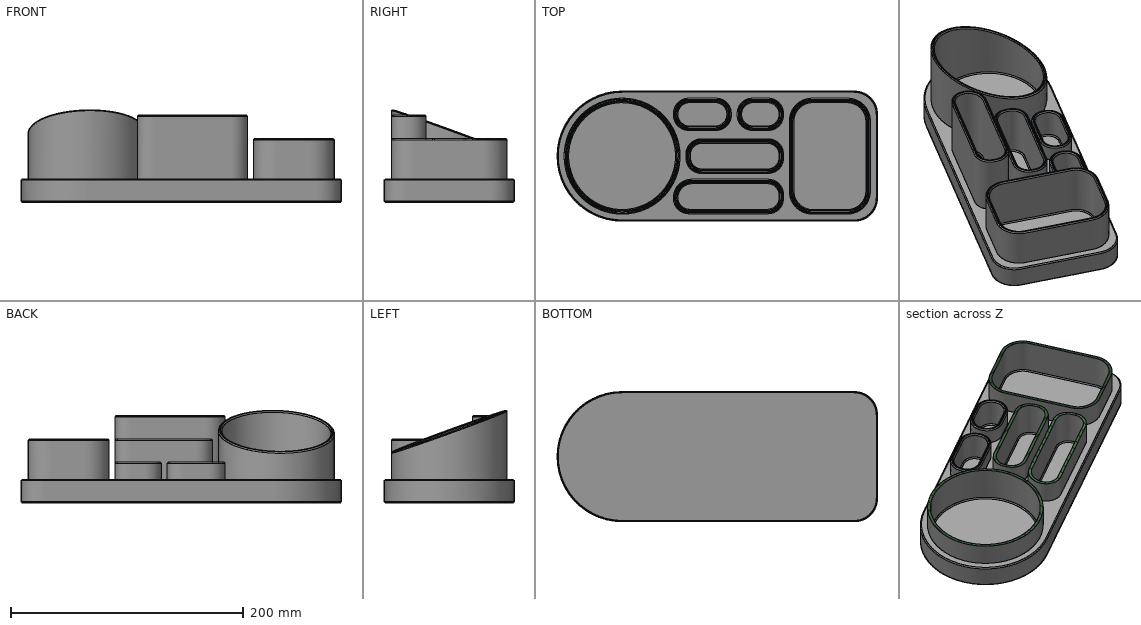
import cadquery as cq
import math

length = 276.0
width = 112.0
base_height = 20.1
end_radius = width / 2
base_corner_radius = 20.0
edge_chamfer = 1.0

pocket_floor_z = 5.0
cup_floor = 3.0
round_cup_diameter = 100.0
round_cup_bore = 94.0
wall = (round_cup_diameter - round_cup_bore) / 2
cup_gap = 5.0

rim_peak_z = 80.0
rim_slope = 20.0
rim_turn = 4.0

cup_y_limit = round_cup_diameter / 2

tray_length = 69.8
tray_corner_radius = 20.0
tray_top_z = 55.0
base_margin = end_radius - cup_y_limit
base_x_max = length - end_radius
tray_x_max = base_x_max - base_margin
tray_x_min = tray_x_max - tray_length

slot_corner_radius = 13.5
relief_corner_radius = 16.0
slot_x_max = tray_x_min - cup_gap
long_slot_length = 95.0
slot_width = 29.8
small_slot_width = 28.0
small_slot_length = 50.0
tall_slot_top_z = 75.0
middle_slot_top_z = 55.0
small_slot_top_z = 35.0
middle_slot_x_min = round_cup_diameter / 2 + cup_gap
long_slot_x_min = slot_x_max - long_slot_length
first_small_slot_x_max = long_slot_x_min + small_slot_length

small_slot_y_min = cup_y_limit - small_slot_width
long_slot_y_max = -slot_width / 2 - cup_gap
long_slot_y_min = long_slot_y_max - slot_width

tray = (
    tray_x_min, tray_x_max, -cup_y_limit, cup_y_limit,
    tray_corner_radius, tray_top_z, tray_corner_radius,
)
tall_slot = (
    long_slot_x_min, slot_x_max, long_slot_y_min, long_slot_y_max,
    slot_corner_radius, tall_slot_top_z, relief_corner_radius,
)
middle_slot = (
    middle_slot_x_min, slot_x_max, -slot_width / 2, slot_width / 2,
    slot_corner_radius, middle_slot_top_z, slot_corner_radius,
)
first_small_slot = (
    long_slot_x_min, first_small_slot_x_max, small_slot_y_min, cup_y_limit,
    slot_corner_radius, small_slot_top_z, slot_corner_radius,
)
second_small_slot = (
    first_small_slot_x_max + cup_gap, slot_x_max, small_slot_y_min, cup_y_limit,
    slot_corner_radius, small_slot_top_z, slot_corner_radius,
)
slots = [tall_slot, middle_slot, first_small_slot, second_small_slot]


def rounded_block(x_min, x_max, y_min, y_max, radius, relief_radius, bottom_z, top_z):
    """Upright block with rounded vertical edges; the (-X, +Y) edge has its own radius."""
    block = (
        cq.Workplane("XY", origin=((x_min + x_max) / 2, (y_min + y_max) / 2, bottom_z))
        .rect(x_max - x_min, y_max - y_min)
        .extrude(top_z - bottom_z)
    )
    return block.edges("|Z and (>X or <Y)").fillet(radius).edges("|Z").edges("<X and >Y").fillet(relief_radius)


def cylinder(diameter, bottom_z, top_z):
    return cq.Workplane("XY", origin=(0, 0, bottom_z)).circle(diameter / 2).extrude(top_z - bottom_z)


def chamfered_floor(cavity):
    """Chamfer the bottom edge of a cavity so that the cup keeps a bevel around its floor."""
    return cavity.faces("<Z").chamfer(edge_chamfer)


def make_rounded_cup(x_min, x_max, y_min, y_max, radius, top_z, relief_radius):
    outside = rounded_block(
        x_min, x_max, y_min, y_max, radius, relief_radius, pocket_floor_z, top_z
    )
    cavity = rounded_block(
        x_min + wall, x_max - wall, y_min + wall, y_max - wall,
        radius - wall, relief_radius - wall, pocket_floor_z + cup_floor, top_z,
    )
    return outside.cut(chamfered_floor(cavity)).faces(">Z").chamfer(edge_chamfer)


def make_round_cup():
    outside = cylinder(round_cup_diameter, pocket_floor_z, rim_peak_z)
    cavity = cylinder(round_cup_bore, pocket_floor_z + cup_floor, rim_peak_z)
    cup = outside.cut(chamfered_floor(cavity))
    rim_drop = round_cup_diameter * math.tan(math.radians(rim_slope))
    above_rim = (
        cq.Workplane("YZ")
        .moveTo(-cup_y_limit, rim_peak_z)
        .lineTo(cup_y_limit, rim_peak_z)
        .lineTo(cup_y_limit, rim_peak_z - rim_drop)
        .close()
        .extrude(round_cup_diameter / 2, both=True)
        .rotate((0, 0, 0), (0, 0, 1), rim_turn)
    )
    return cup.cut(above_rim).faces(">Z").chamfer(edge_chamfer)


def make_base():
    plate = (
        cq.Workplane("XY")
        .moveTo(0, -end_radius)
        .lineTo(base_x_max, -end_radius)
        .lineTo(base_x_max, end_radius)
        .lineTo(0, end_radius)
        .threePointArc((-end_radius, 0), (0, -end_radius))
        .close()
        .extrude(base_height)
        .edges("|Z and >X")
        .fillet(base_corner_radius)
        .faces("<Z or >Z")
        .chamfer(edge_chamfer)
    )
    plate = plate.cut(cylinder(round_cup_diameter, pocket_floor_z, base_height))
    for x_min, x_max, y_min, y_max, radius, _, relief_radius in [tray, *slots]:
        pocket = rounded_block(
            x_min, x_max, y_min, y_max, radius, relief_radius, pocket_floor_z, base_height
        )
        plate = plate.cut(pocket)
    return plate


base = make_base()
round_cup = make_round_cup()
tray_cup = make_rounded_cup(*tray)
slot_cups = [make_rounded_cup(*slot) for slot in slots]

result = cq.Compound.makeCompound(
    [base.val(), round_cup.val(), tray_cup.val(), *[cup.val() for cup in slot_cups]]
)